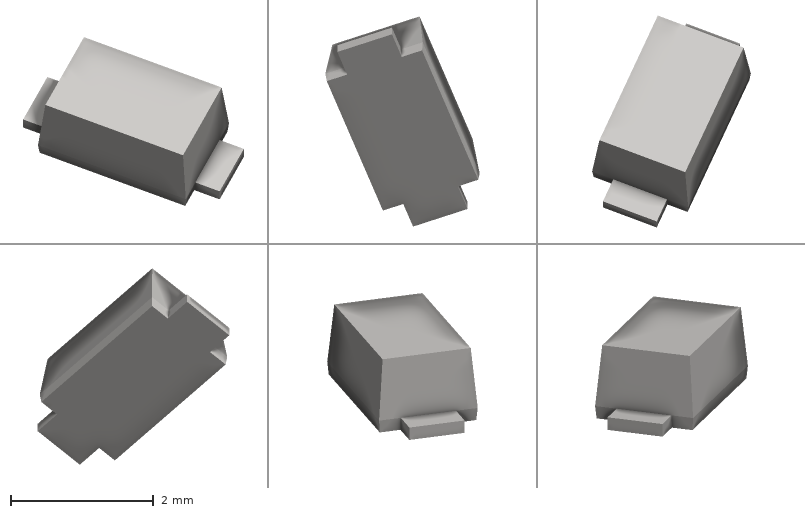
import cadquery as cq
import math

overall_length = 3.03
body_length = 2.28
body_width = 1.46
total_height = 1.08
draft_angle = 5.0

lead_width = 0.818
lead_thickness = 0.188

parting_height = lead_thickness


def make_tapered_half(height):
    """Half of the body, drafted inward from the parting plane to a signed height."""
    inset = abs(height) * math.tan(math.radians(draft_angle))
    return (
        cq.Workplane("XY")
        .workplane(offset=parting_height)
        .rect(body_length, body_width)
        .workplane(offset=height)
        .rect(body_length - 2 * inset, body_width - 2 * inset)
        .loft(ruled=True, combine=True)
    )


def make_body():
    """Moulded body with draft above and below the parting plane."""
    upper_half = make_tapered_half(total_height - parting_height)
    lower_half = make_tapered_half(-parting_height)
    return upper_half.union(lower_half)


def make_lead(side):
    """Flat lead at one end (side is -1 or +1) that butts against the drafted end wall."""
    inner_end = body_length / 2 - parting_height * math.tan(math.radians(draft_angle))
    outer_end = overall_length / 2
    profile = [
        (side * inner_end, 0),
        (side * outer_end, 0),
        (side * outer_end, lead_thickness),
        (side * body_length / 2, lead_thickness),
    ]
    return cq.Workplane("XZ").polyline(profile).close().extrude(lead_width / 2, both=True)


body = make_body()
leads = [make_lead(side) for side in (-1, 1)]

result = cq.Compound.makeCompound([body.val(), *[lead.val() for lead in leads]])